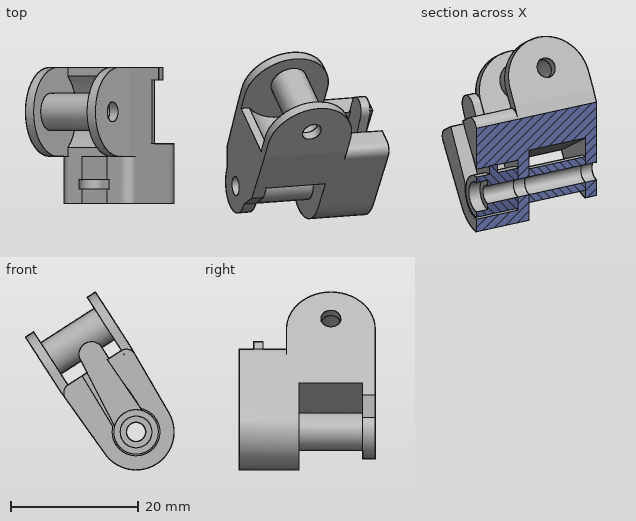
import cadquery as cq

LINK_TILT = 32.8
LEVER_TILT = 29.8

ROLLER_DIAMETER = 5.9
ROLLER_LENGTH = 10.0
HALF_GAP = ROLLER_LENGTH / 2
TAIL_BORE = 3.0
HEAD_BORE = 3.1

HEAD_HEIGHT = 17.0
PLATE_RADIUS = 7.0
PLATE_ARC_HEIGHT = 14.97
HEAD_HALF_WIDTH = 6.55
HEAD_CLEARANCE_RADIUS = 7.48

BLOCK_TOP = 12.02
BLOCK_FRONT = -14.44
BLOCK_BACK = PLATE_RADIUS
TAIL_RADIUS = 6.0
CORNER_RADIUS = HEAD_HALF_WIDTH - HALF_GAP
TAIL_SLOT_TOP = 5.1
REAR_EAR_RADIUS = 4.25
REAR_EAR_TOP = 3.0

POCKET_FLOOR = -PLATE_RADIUS
POCKET_TOP_HALF_WIDTH = 2.35
POCKET_BASE_HALF_WIDTH = 2.63
POCKET_BASE_HEIGHT = 2.65
POCKET_RADIUS = 3.75
HUB_DIAMETER = 7.0
COUNTERBORE_DIAMETER = 5.0
COUNTERBORE_DEPTH = 2.0
LEVER_LENGTH = 14.1
LEVER_TIP_RADIUS = 1.95
LEVER_BASE_HALF_WIDTH = 2.6
LEVER_FRONT = -12.17
LEVER_THICKNESS = 1.5


def side_plane(y):
    """XZ sketch plane at y, extruding toward +Y (sketch x is mirrored)."""
    return cq.Workplane(cq.Plane(origin=(0, y, 0), xDir=(-1, 0, 0), normal=(0, 1, 0)))


def cylinder_y(diameter, y_start, y_end):
    """Cylinder on the tail axis."""
    return side_plane(y_start).circle(diameter / 2).extrude(y_end - y_start)


def cylinder_head(diameter, half_length):
    """Cylinder on the head axis, centred between the plates."""
    plane = cq.Plane(origin=(-half_length, 0, HEAD_HEIGHT), xDir=(0, 1, 0), normal=(1, 0, 0))
    return cq.Workplane(plane).circle(diameter / 2).extrude(2 * half_length)


def tapered_body(tail_radius, y_start, y_end):
    """Block with sides narrowing down to a round tail."""
    return (
        side_plane(y_start)
        .moveTo(-HEAD_HALF_WIDTH, BLOCK_TOP)
        .lineTo(HEAD_HALF_WIDTH, BLOCK_TOP)
        .lineTo(tail_radius, 0)
        .threePointArc((0, -tail_radius), (-tail_radius, 0))
        .close()
        .extrude(y_end - y_start)
    )


def front_block():
    """Front ear with rounded upper corners, in front of the head plates."""
    block = tapered_body(TAIL_RADIUS, BLOCK_FRONT, -PLATE_RADIUS)
    return block.edges("|Y and >Z").fillet(CORNER_RADIUS)


def middle_block():
    """Body below the head plates, slotted for the tail roller."""
    block = tapered_body(TAIL_RADIUS, -PLATE_RADIUS, BLOCK_BACK)
    slot_depth = TAIL_SLOT_TOP + TAIL_RADIUS
    slot = (
        cq.Workplane("XY")
        .workplane(offset=-TAIL_RADIUS)
        .rect(2 * HEAD_HALF_WIDTH, ROLLER_LENGTH)
        .extrude(slot_depth)
    )
    return block.cut(slot).intersect(rear_ear_limit())


def rear_ear_limit():
    """Space in which the rear ear is narrowed; it leaves the front of the block whole."""
    taper = (HEAD_HALF_WIDTH - TAIL_RADIUS) / BLOCK_TOP
    shoulder = TAIL_RADIUS + taper * REAR_EAR_TOP
    ear = (
        side_plane(-HALF_GAP)
        .moveTo(-HEAD_HALF_WIDTH, BLOCK_TOP)
        .lineTo(HEAD_HALF_WIDTH, BLOCK_TOP)
        .lineTo(shoulder, REAR_EAR_TOP)
        .lineTo(REAR_EAR_RADIUS, 0)
        .threePointArc((0, -REAR_EAR_RADIUS), (-REAR_EAR_RADIUS, 0))
        .lineTo(-shoulder, REAR_EAR_TOP)
        .close()
        .extrude(BLOCK_BACK + HALF_GAP)
    )
    return ear.union(tapered_body(TAIL_RADIUS, -PLATE_RADIUS, -HALF_GAP))


def head_plate(x_inner):
    """Round-topped plate rising from the top of the block."""
    plane = cq.Plane(origin=(x_inner, 0, 0), xDir=(0, 1, 0), normal=(1, 0, 0))
    return (
        cq.Workplane(plane)
        .moveTo(-PLATE_RADIUS, BLOCK_TOP)
        .lineTo(-PLATE_RADIUS, PLATE_ARC_HEIGHT)
        .threePointArc((0, PLATE_ARC_HEIGHT + PLATE_RADIUS), (PLATE_RADIUS, PLATE_ARC_HEIGHT))
        .lineTo(PLATE_RADIUS, BLOCK_TOP)
        .close()
        .extrude(HEAD_HALF_WIDTH - HALF_GAP)
    )


def lever_pocket():
    """Pocket open at the front and top: a flared channel and a round hub recess."""
    depth = POCKET_FLOOR - BLOCK_FRONT
    channel = (
        side_plane(BLOCK_FRONT)
        .moveTo(-POCKET_TOP_HALF_WIDTH, BLOCK_TOP)
        .lineTo(POCKET_TOP_HALF_WIDTH, BLOCK_TOP)
        .lineTo(POCKET_BASE_HALF_WIDTH, POCKET_BASE_HEIGHT)
        .lineTo(0, 0)
        .lineTo(-POCKET_BASE_HALF_WIDTH, POCKET_BASE_HEIGHT)
        .close()
        .extrude(depth)
    )
    return channel.union(cylinder_y(2 * POCKET_RADIUS, BLOCK_FRONT, POCKET_FLOOR))


def make_lever():
    """Hub with a counterbored bore and a tapered, round-tipped arm."""
    arm = (
        side_plane(LEVER_FRONT)
        .moveTo(-LEVER_BASE_HALF_WIDTH, 0)
        .lineTo(-LEVER_TIP_RADIUS, LEVER_LENGTH)
        .threePointArc((0, LEVER_LENGTH + LEVER_TIP_RADIUS), (LEVER_TIP_RADIUS, LEVER_LENGTH))
        .lineTo(LEVER_BASE_HALF_WIDTH, 0)
        .close()
        .extrude(LEVER_THICKNESS)
    )
    hub = cylinder_y(HUB_DIAMETER, BLOCK_FRONT, POCKET_FLOOR)
    bore = cylinder_y(TAIL_BORE, BLOCK_FRONT, POCKET_FLOOR)
    counterbore = cylinder_y(COUNTERBORE_DIAMETER, BLOCK_FRONT, BLOCK_FRONT + COUNTERBORE_DEPTH)
    return tilt(arm.union(hub).cut(bore).cut(counterbore), LEVER_TILT)


def make_housing(lever):
    """Link housing; the lever arm rests in a shallow notch in the pocket wall."""
    body = front_block().union(middle_block())
    body = body.cut(cylinder_head(2 * HEAD_CLEARANCE_RADIUS, HALF_GAP))
    for x_inner in (-HEAD_HALF_WIDTH, HALF_GAP):
        body = body.union(head_plate(x_inner))
    body = body.cut(cylinder_head(HEAD_BORE, HEAD_HALF_WIDTH))
    body = body.cut(lever_pocket())
    body = body.cut(cylinder_y(TAIL_BORE, BLOCK_FRONT, BLOCK_BACK))
    return tilt(body, LINK_TILT).cut(lever)


def make_head_roller():
    """Tube between the head plates."""
    roller = cylinder_head(ROLLER_DIAMETER, HALF_GAP).cut(cylinder_head(HEAD_BORE, HALF_GAP))
    return tilt(roller, LINK_TILT)


def make_tail_roller():
    """Tube between the front and rear ears."""
    roller = cylinder_y(ROLLER_DIAMETER, -HALF_GAP, HALF_GAP)
    return roller.cut(cylinder_y(TAIL_BORE, -HALF_GAP, HALF_GAP))


def tilt(body, angle):
    """Lean a body toward -X about the tail axis."""
    return body.rotate((0, 0, 0), (0, 1, 0), -angle)


lever = make_lever()
housing = make_housing(lever)
head_roller = make_head_roller()
tail_roller = make_tail_roller()

result = cq.Compound.makeCompound([housing.val(), lever.val(), head_roller.val(), tail_roller.val()])